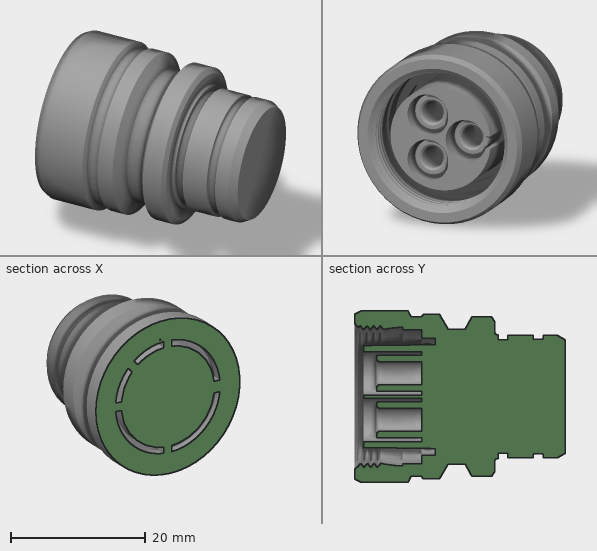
import cadquery as cq
import math

LENGTH = 31.5
BODY_RADIUS = 13.0

FRONT_CHAMFER_LENGTH = 1.0
FRONT_FACE_RADIUS = 12.5
HEAD_END_X = 8.0
NECK_START_X = 8.5
NECK_END_X = 9.95
NECK_RADIUS = 12.1
RING_START_X = 10.3
RING_END_X = 12.7
RING_RADIUS = 12.5
WAIST_START_X = 14.0
WAIST_END_X = 16.5
WAIST_RADIUS = 10.3
FLANGE_START_X = 17.5
FLANGE_CHAMFER_X = 20.5
FLANGE_END_X = 21.0
FLANGE_RADIUS = 12.1
FLANGE_BACK_RADIUS = 11.3
COLLAR_END_X = 21.5
COLLAR_RADIUS = 9.5
COLLAR_FILLET = 0.25
TAIL_NECK_RADIUS = 8.75
TAIL_START_X = 22.8
TAIL_RADIUS = 9.4
SEAL_GROOVE_START_X = 26.7
SEAL_GROOVE_END_X = 28.1
SEAL_GROOVE_RADIUS = 8.8
SEAL_GROOVE_FILLET = 0.15
TAIL_CHAMFER_X = 30.25
TAIL_END_RADIUS = 8.7

MOUTH_RADIUS = 11.05
THREAD_CREST_RADIUS = 10.15
THREAD_PITCH = 1.0
THREAD_HALF_ANGLE = 40.0
THREAD_GROOVE_WIDTH = 0.96
THREAD_START_X = -0.35
THREAD_HALF_TURNS = 9
THREAD_OVERCUT = 0.3
RELIEF_START_X = 4.1
SHOULDER_X = 7.2
SHOULDER_STEP = 0.35
SOCKET_BORE_RADIUS = 10.15
KEY_FACE_X = 10.0
RING_GAP_RADIUS = 8.93
SOCKET_FLOOR_X = 12.0

INSERT_FRONT_X = 1.35
INSERT_FRONT_RADIUS = 7.9
INSERT_BASE_RADIUS = 8.05

KEY_WIDTH = 1.45
KEY_ANGLES = (0, 45, 90, 270)
MASTER_KEY_WIDTH = 1.95
MASTER_KEY_ANGLE = 180
MARK_INNER_RADIUS = 9.57
MARK_OUTER_RADIUS = 9.85
MARK_WIDTH = 1.5
MARK_DEPTH = 0.2

CONTACT_CIRCLE_RADIUS = 4.0
CONTACT_ANGLES = (60, 180, 300)
CONTACT_CAVITY_RADIUS = 3.2
CONTACT_DEPTH = 1.95
MASTER_CONTACT_DEPTH = 2.55
CONTACT_RADIUS = 2.72
CONTACT_EDGE_CHAMFER = 0.15
CONTACT_BORE_RADIUS = 1.67
CONTACT_MOUTH_RADIUS = 2.0
CONTACT_BORE_END_X = 10.0


def revolve_about_x(profile):
    """Turn a closed (X, radius) outline around the X axis."""
    return profile.close().revolve(360, (0, 0, 0), (1, 0, 0))


def cylinder_along_x(radius, start_x, end_x, y=0.0, z=0.0):
    return cq.Workplane("YZ", origin=(start_x, y, z)).circle(radius).extrude(end_x - start_x)


def radial_bar(inner_radius, outer_radius, width, start_x, end_x, angle):
    """Straight bar pointing away from the axis at an angle from +Y towards +Z."""
    bar = cq.Workplane("XY").box(
        end_x - start_x, outer_radius - inner_radius, width, centered=(False, False, True)
    )
    return bar.translate((start_x, inner_radius, 0)).rotate((0, 0, 0), (1, 0, 0), angle)


def make_body():
    groove_bottom = SEAL_GROOVE_RADIUS + SEAL_GROOVE_FILLET
    corner_sag = SEAL_GROOVE_FILLET * (1 - math.sqrt(0.5))
    fillet_sag = COLLAR_FILLET * (1 - math.sqrt(0.5))
    return revolve_about_x(
        cq.Workplane("XY")
        .moveTo(0, 0)
        .lineTo(0, FRONT_FACE_RADIUS)
        .lineTo(FRONT_CHAMFER_LENGTH, BODY_RADIUS)
        .lineTo(HEAD_END_X, BODY_RADIUS)
        .lineTo(NECK_START_X, NECK_RADIUS)
        .lineTo(NECK_END_X, NECK_RADIUS)
        .lineTo(RING_START_X, RING_RADIUS)
        .lineTo(RING_END_X, RING_RADIUS)
        .lineTo(WAIST_START_X, WAIST_RADIUS)
        .lineTo(WAIST_END_X, WAIST_RADIUS)
        .lineTo(FLANGE_START_X, FLANGE_RADIUS)
        .lineTo(FLANGE_CHAMFER_X, FLANGE_RADIUS)
        .lineTo(FLANGE_END_X, FLANGE_BACK_RADIUS)
        .lineTo(FLANGE_END_X, COLLAR_RADIUS + COLLAR_FILLET)
        .threePointArc(
            (FLANGE_END_X + fillet_sag, COLLAR_RADIUS + fillet_sag),
            (FLANGE_END_X + COLLAR_FILLET, COLLAR_RADIUS),
        )
        .lineTo(COLLAR_END_X, COLLAR_RADIUS)
        .lineTo(COLLAR_END_X, TAIL_NECK_RADIUS)
        .lineTo(TAIL_START_X, TAIL_NECK_RADIUS)
        .lineTo(TAIL_START_X, TAIL_RADIUS)
        .lineTo(SEAL_GROOVE_START_X, TAIL_RADIUS)
        .lineTo(SEAL_GROOVE_START_X, groove_bottom)
        .threePointArc(
            (SEAL_GROOVE_START_X + corner_sag, SEAL_GROOVE_RADIUS + corner_sag),
            (SEAL_GROOVE_START_X + SEAL_GROOVE_FILLET, SEAL_GROOVE_RADIUS),
        )
        .lineTo(SEAL_GROOVE_END_X - SEAL_GROOVE_FILLET, SEAL_GROOVE_RADIUS)
        .threePointArc(
            (SEAL_GROOVE_END_X - corner_sag, SEAL_GROOVE_RADIUS + corner_sag),
            (SEAL_GROOVE_END_X, groove_bottom),
        )
        .lineTo(SEAL_GROOVE_END_X, TAIL_RADIUS)
        .lineTo(TAIL_CHAMFER_X, TAIL_RADIUS)
        .lineTo(LENGTH, TAIL_END_RADIUS)
        .lineTo(LENGTH, 0)
    )


def make_socket():
    """Space of the socket: 45 degree lead-in, thread bore, relief, plain bore and ring gap."""
    lead_in_length = MOUTH_RADIUS - THREAD_CREST_RADIUS
    relief_length = SHOULDER_X - RELIEF_START_X
    relief_arc_radius = (relief_length**2 + SHOULDER_STEP**2) / (2 * SHOULDER_STEP)
    relief_mid_sag = relief_arc_radius - math.sqrt(relief_arc_radius**2 - (relief_length / 2) ** 2)
    relief_end_radius = THREAD_CREST_RADIUS + SHOULDER_STEP
    return revolve_about_x(
        cq.Workplane("XY")
        .moveTo(0, 0)
        .lineTo(0, MOUTH_RADIUS)
        .lineTo(lead_in_length, THREAD_CREST_RADIUS)
        .lineTo(RELIEF_START_X, THREAD_CREST_RADIUS)
        .threePointArc(
            (SHOULDER_X - relief_length / 2, relief_end_radius - relief_mid_sag),
            (SHOULDER_X, relief_end_radius),
        )
        .lineTo(SHOULDER_X, SOCKET_BORE_RADIUS)
        .lineTo(KEY_FACE_X, SOCKET_BORE_RADIUS)
        .lineTo(KEY_FACE_X, RING_GAP_RADIUS)
        .lineTo(SOCKET_FLOOR_X, RING_GAP_RADIUS)
        .lineTo(SOCKET_FLOOR_X, 0)
    )


def make_thread_half_turn():
    """Half a turn of the right-hand V groove, starting at +Y with its root at X = 0."""
    half_width = THREAD_GROOVE_WIDTH / 2
    flank_slope = 1 / math.tan(math.radians(THREAD_HALF_ANGLE))
    root_radius = THREAD_CREST_RADIUS + half_width * flank_slope
    open_radius = THREAD_CREST_RADIUS - THREAD_OVERCUT
    open_half_width = half_width + THREAD_OVERCUT / flank_slope
    helix = cq.Wire.makeHelix(THREAD_PITCH, THREAD_PITCH / 2, THREAD_CREST_RADIUS)
    groove = (
        cq.Workplane("XZ")
        .moveTo(open_radius, -open_half_width)
        .lineTo(root_radius, 0)
        .lineTo(open_radius, open_half_width)
        .close()
        .sweep(cq.Workplane(helix), isFrenet=True)
    )
    return groove.rotate((0, 0, 0), (1, 1, 1), 120)


def cut_thread(body):
    half_turn = make_thread_half_turn()
    for index in range(THREAD_HALF_TURNS):
        groove = half_turn.rotate((0, 0, 0), (1, 0, 0), 180 * index)
        body = body.cut(groove.translate((THREAD_START_X + index * THREAD_PITCH / 2, 0, 0)))
    return body


def make_insert():
    """Slightly tapered plug, with the slot for the master key open at its front."""
    insert = revolve_about_x(
        cq.Workplane("XY")
        .moveTo(INSERT_FRONT_X, 0)
        .lineTo(INSERT_FRONT_X, INSERT_FRONT_RADIUS)
        .lineTo(SOCKET_FLOOR_X, INSERT_BASE_RADIUS)
        .lineTo(SOCKET_FLOOR_X, 0)
    )
    slot = radial_bar(
        CONTACT_CIRCLE_RADIUS, RING_GAP_RADIUS, MASTER_KEY_WIDTH,
        INSERT_FRONT_X, KEY_FACE_X, MASTER_KEY_ANGLE,
    )
    return insert.cut(slot)


def add_keys(part):
    for angle in KEY_ANGLES:
        key = radial_bar(
            INSERT_FRONT_RADIUS, SOCKET_BORE_RADIUS, KEY_WIDTH, KEY_FACE_X, SOCKET_FLOOR_X, angle
        )
        part = part.union(key)
    master_key = radial_bar(
        CONTACT_CIRCLE_RADIUS, SOCKET_BORE_RADIUS, MASTER_KEY_WIDTH,
        KEY_FACE_X, SOCKET_FLOOR_X, MASTER_KEY_ANGLE,
    )
    mark = radial_bar(
        MARK_INNER_RADIUS, MARK_OUTER_RADIUS, MARK_WIDTH,
        KEY_FACE_X, KEY_FACE_X + MARK_DEPTH, MASTER_KEY_ANGLE,
    )
    return part.union(master_key).cut(mark)


def make_contact(y, z, face_x):
    """Socket contact: a sleeve with a chamfered rim and a countersunk blind bore."""
    sleeve = cylinder_along_x(CONTACT_RADIUS, face_x, SOCKET_FLOOR_X, y, z)
    sleeve = sleeve.faces("<X").chamfer(CONTACT_EDGE_CHAMFER)
    sleeve = sleeve.cut(cylinder_along_x(CONTACT_BORE_RADIUS, face_x, CONTACT_BORE_END_X, y, z))
    inner_rim = sleeve.faces("<X").edges(cq.selectors.RadiusNthSelector(0))
    return inner_rim.chamfer(CONTACT_MOUTH_RADIUS - CONTACT_BORE_RADIUS)


def add_contacts(part):
    for angle in CONTACT_ANGLES:
        depth = MASTER_CONTACT_DEPTH if angle == MASTER_KEY_ANGLE else CONTACT_DEPTH
        y = CONTACT_CIRCLE_RADIUS * math.cos(math.radians(angle))
        z = CONTACT_CIRCLE_RADIUS * math.sin(math.radians(angle))
        cavity = cylinder_along_x(CONTACT_CAVITY_RADIUS, INSERT_FRONT_X, KEY_FACE_X, y, z)
        part = part.cut(cavity).union(make_contact(y, z, INSERT_FRONT_X + depth))
    return part


body = cut_thread(make_body().cut(make_socket()))
result = add_contacts(add_keys(body.union(make_insert())))